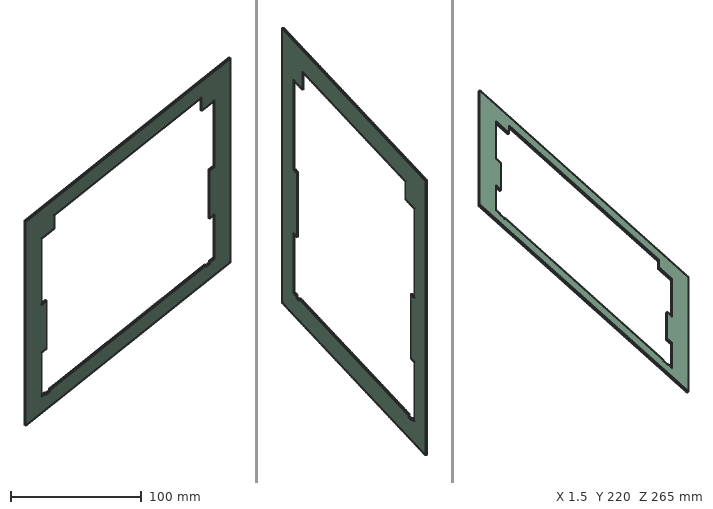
import cadquery as cq

thickness = 1.5
width = 220.0
height = 265.0

side_border = 17.2
end_border = 21.2
window_width = width - 2 * side_border
window_height = height - 2 * end_border

corner_block_width = 13.8
corner_block_height = 17.2

tab_reach = 5.3
tab_height = 62.0
tab_bottom = 78.5

notch_width = 4.5
notch_depth = 1.9
notch_inset = 4.5


def plate(size_y, size_z, center_y=0.0, center_z=0.0):
    """Rectangular plate of the full thickness."""
    return cq.Workplane("XY").box(thickness, size_y, size_z).translate((0, center_y, center_z))


window_side = window_width / 2
window_top = window_height / 2
window_bottom = -window_height / 2

frame = plate(width, height).cut(plate(window_width, window_height))

for side in (-1, 1):
    corner_block = plate(
        corner_block_width,
        corner_block_height,
        side * (window_side - corner_block_width / 2),
        window_top - corner_block_height / 2,
    )
    tab = plate(
        tab_reach,
        tab_height,
        side * (window_side - tab_reach / 2),
        -height / 2 + tab_bottom + tab_height / 2,
    )
    notch = plate(
        notch_width,
        notch_depth,
        side * (window_side - notch_inset - notch_width / 2),
        window_bottom - notch_depth / 2,
    )
    frame = frame.union(corner_block).union(tab).cut(notch)

result = frame